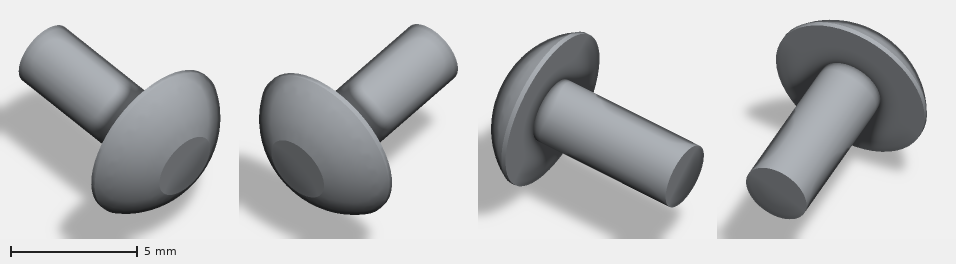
import cadquery as cq
import math


total_length = 8.2
shank_diameter = 2.71
head_diameter = 6.66
head_height = 1.87
rim_thickness = 0.2
crown_diameter = 2.75
dome_radius = 3.5

shank_radius = shank_diameter / 2
head_radius = head_diameter / 2
crown_radius = crown_diameter / 2
shank_length = total_length - head_height

shank_end_x = -shank_length
rim_x = rim_thickness
crown_x = head_height


def dome_midpoint():
    """Point (x, radius) halfway along the dome arc, on the outward side of its chord."""
    chord_x = crown_x - rim_x
    chord_r = head_radius - crown_radius
    chord = math.hypot(chord_x, chord_r)
    bulge = dome_radius - math.sqrt(dome_radius**2 - (chord / 2) ** 2)
    middle_x = (rim_x + crown_x) / 2
    middle_r = (head_radius + crown_radius) / 2
    return (middle_x + bulge * chord_r / chord, middle_r + bulge * chord_x / chord)


def make_pin():
    """Revolve the half profile of shank, rim and dome about the X axis."""
    profile = (
        cq.Workplane("XZ")
        .moveTo(shank_end_x, 0)
        .lineTo(shank_end_x, shank_radius)
        .lineTo(0, shank_radius)
        .lineTo(0, head_radius)
        .lineTo(rim_x, head_radius)
        .threePointArc(dome_midpoint(), (crown_x, crown_radius))
        .lineTo(crown_x, 0)
        .close()
    )
    return profile.revolve(360, (0, 0, 0), (1, 0, 0))


result = make_pin()